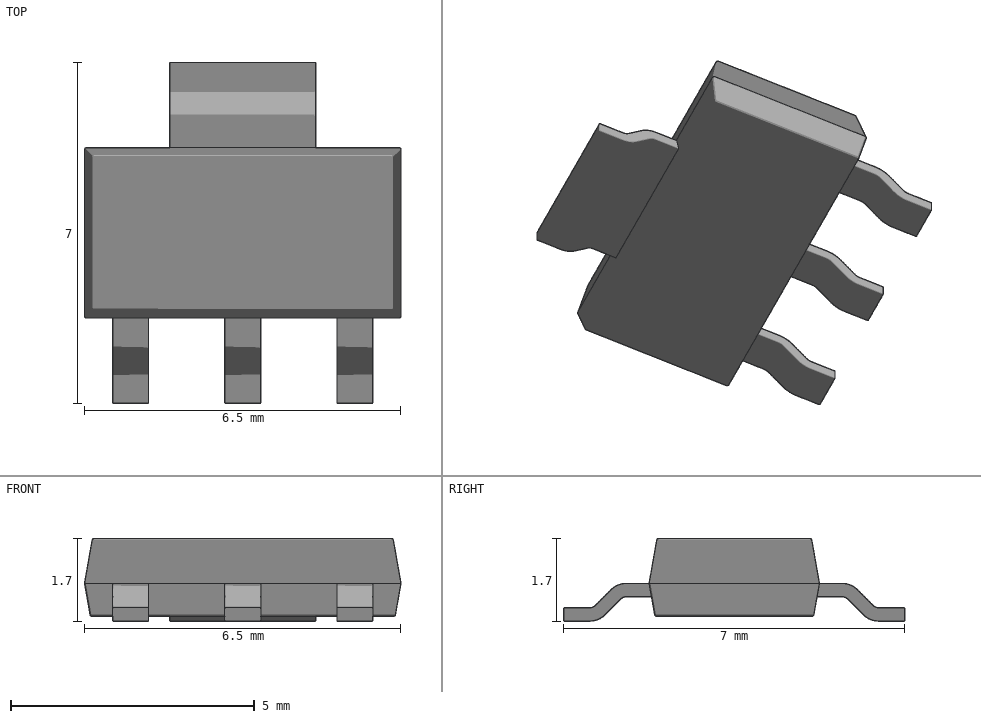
import cadquery as cq
import math

BODY_X = 6.5
BODY_Y = 3.5
BODY_BOTTOM_Z = 0.1
BODY_TOP_Z = 1.7
PARTING_Z = 0.78
DRAFT_ANGLE = 10.0
BODY_EDGE_RADIUS = 0.045

OVERALL_Y = 7.0
LEAD_THICKNESS = 0.28
LEAD_WIDTH = 0.74
LEAD_PITCH = 2.3
TAB_WIDTH = 3.0
FOOT_LENGTH = 0.535
BEND_ANGLE = math.radians(45.0)
INNER_BEND_RADIUS = 0.16
OUTER_BEND_RADIUS = INNER_BEND_RADIUS + LEAD_THICKNESS
LEAD_EDGE_RADIUS = 0.02
LEAD_EMBED = 0.3


def body_half(end_z):
    """Half of the body, tapering from the parting plane to end_z, with rounded edges."""
    height = end_z - PARTING_Z
    end_face = ">Z" if height > 0 else "<Z"
    half = (
        cq.Workplane("XY")
        .workplane(offset=PARTING_Z)
        .rect(BODY_X, BODY_Y)
        .extrude(height, taper=DRAFT_ANGLE)
    )
    corner_edges = half.edges("not #Z")
    end_edges = half.faces(end_face).edges()
    return corner_edges.add(end_edges).fillet(BODY_EDGE_RADIUS)


def shoulder_point(center, radius, angle):
    """Point on the shoulder bend, the angle measured from its top."""
    return (center[0] + radius * math.sin(angle), center[1] + radius * math.cos(angle))


def foot_point(center, radius, angle):
    """Point on the foot bend, the angle measured from its bottom."""
    return (center[0] - radius * math.sin(angle), center[1] - radius * math.cos(angle))


def lead_profile():
    """Side outline of a lead pointing towards +Y, its foot resting on Z = 0."""
    half_bend = BEND_ANGLE / 2
    shoulder_bottom_z = PARTING_Z - LEAD_THICKNESS
    radius_sum = INNER_BEND_RADIUS + OUTER_BEND_RADIUS
    slope_drop = shoulder_bottom_z - radius_sum * (1 - math.cos(BEND_ANGLE))
    slope_run = slope_drop / math.tan(BEND_ANGLE)

    root_y = BODY_Y / 2 - LEAD_EMBED
    tip_y = OVERALL_Y / 2
    foot_y = tip_y - FOOT_LENGTH
    shoulder_y = foot_y - slope_run - radius_sum * math.sin(BEND_ANGLE)
    shoulder_center = (shoulder_y, PARTING_Z - OUTER_BEND_RADIUS)
    foot_center = (foot_y, OUTER_BEND_RADIUS)

    return (
        cq.Workplane("YZ")
        .moveTo(root_y, PARTING_Z)
        .lineTo(shoulder_y, PARTING_Z)
        .threePointArc(
            shoulder_point(shoulder_center, OUTER_BEND_RADIUS, half_bend),
            shoulder_point(shoulder_center, OUTER_BEND_RADIUS, BEND_ANGLE),
        )
        .lineTo(*foot_point(foot_center, INNER_BEND_RADIUS, BEND_ANGLE))
        .threePointArc(
            foot_point(foot_center, INNER_BEND_RADIUS, half_bend),
            (foot_y, LEAD_THICKNESS),
        )
        .lineTo(tip_y, LEAD_THICKNESS)
        .lineTo(tip_y, 0)
        .lineTo(foot_y, 0)
        .threePointArc(
            foot_point(foot_center, OUTER_BEND_RADIUS, half_bend),
            foot_point(foot_center, OUTER_BEND_RADIUS, BEND_ANGLE),
        )
        .lineTo(*shoulder_point(shoulder_center, INNER_BEND_RADIUS, BEND_ANGLE))
        .threePointArc(
            shoulder_point(shoulder_center, INNER_BEND_RADIUS, half_bend),
            (shoulder_y, shoulder_bottom_z),
        )
        .lineTo(root_y, shoulder_bottom_z)
        .close()
    )


def lead(width):
    """Lead of the given width, centred on X = 0, with softened side and tip edges."""
    strip = lead_profile().extrude(width / 2, both=True)
    return strip.faces("<X or >X or >Y").edges().fillet(LEAD_EDGE_RADIUS)


body = body_half(BODY_TOP_Z).union(body_half(BODY_BOTTOM_Z))
tab = lead(TAB_WIDTH)
result = body.union(tab)

pin = lead(LEAD_WIDTH).mirror("XZ")
for position in (-1, 0, 1):
    result = result.union(pin.translate((position * LEAD_PITCH, 0, 0)))